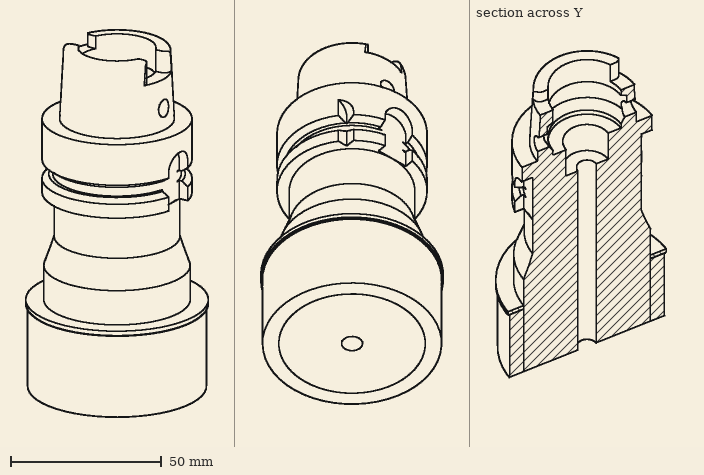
import cadquery as cq
import math

TOTAL_HEIGHT = 120.0
NUT_TOP = 28.8
RING_TOP = 30.7
BODY_TOP = 42.8
NECK_BOTTOM = 53.0
FLANGE_BOTTOM = 68.8
FLANGE_TOP = 94.8

BODY_RADIUS = 24.4
NECK_RADIUS = 20.9
FLANGE_RADIUS = 25.0
TAPER_BASE_RADIUS = 19.1
TAPER_SLOPE = 0.05
TIP_FILLET = 1.2

GROOVE_RADIUS = 21.4
GROOVE_LIP_RADIUS = 22.7
GROOVE_BOTTOM = 75.2
GROOVE_TOP = 78.8
GROOVE_CHAMFER_HEIGHT = 1.5

BORE_RADIUS = 13.0
BORE_LIP_BOTTOM = 109.8
CHAMBER_RADIUS = 15.1
LIP_SLOPE_DEGREES = 30
CHAMBER_BOTTOM = 100.5
LEDGE_SLOPE_DEGREES = 60
BORE_FLOOR = FLANGE_TOP
THREAD_RADIUS = 8.0
THREAD_DEPTH = 12.0
COOLANT_RADIUS = 3.5

DRIVE_SLOT_WIDTH = 10.5
DRIVE_SLOT_CORNER = 2.4
DRIVE_SLOT_SHOULDER_X = 16.2
SHALLOW_SLOT_FLOOR = 115.5
DEEP_SLOT_FLOOR = 112.3

CROSS_HOLE_RADIUS = 3.0
CROSS_HOLE_HEIGHT = 102.2

KEYWAY_RADIUS = 5.9
KEYWAY_TOP = 88.0
KEYWAY_FLOOR_X = NECK_RADIUS
NOTCH_WALL_Y = 15.6
NOTCH_FLOOR_X = 16.0

NUT_RADIUS = 29.8
RING_RADIUS = 30.4
RING_CHAMFER = 0.4


def turned(points):
    """Revolve (radius, height) points about the Z axis, starting on the -Y side."""
    outline = [(-radius, height) for radius, height in points]
    return cq.Workplane("YZ").polyline(outline).close().revolve(360, (0, 0, 0), (0, 1, 0))


def bar_along_x(profile, x_start, x_end):
    """Extrude a profile drawn on the YZ plane from x_start to x_end."""
    return profile.extrude(x_end - x_start).translate((x_start, 0, 0))


def holder_blank():
    taper_top_radius = TAPER_BASE_RADIUS - TAPER_SLOPE * (TOTAL_HEIGHT - FLANGE_TOP)
    return turned([
        (0, 0),
        (BODY_RADIUS, 0),
        (BODY_RADIUS, BODY_TOP),
        (NECK_RADIUS, NECK_BOTTOM),
        (NECK_RADIUS, FLANGE_BOTTOM),
        (FLANGE_RADIUS, FLANGE_BOTTOM),
        (FLANGE_RADIUS, GROOVE_BOTTOM - GROOVE_CHAMFER_HEIGHT),
        (GROOVE_LIP_RADIUS, GROOVE_BOTTOM),
        (GROOVE_RADIUS, GROOVE_BOTTOM),
        (GROOVE_RADIUS, GROOVE_TOP),
        (GROOVE_LIP_RADIUS, GROOVE_TOP),
        (FLANGE_RADIUS, GROOVE_TOP + GROOVE_CHAMFER_HEIGHT),
        (FLANGE_RADIUS, FLANGE_TOP),
        (TAPER_BASE_RADIUS, FLANGE_TOP),
        (taper_top_radius, TOTAL_HEIGHT),
        (0, TOTAL_HEIGHT),
    ]).faces(">Z").edges().fillet(TIP_FILLET)


def bore():
    chamber_depth = CHAMBER_RADIUS - BORE_RADIUS
    lip_slope_height = chamber_depth * math.tan(math.radians(LIP_SLOPE_DEGREES))
    ledge_height = chamber_depth * math.tan(math.radians(LEDGE_SLOPE_DEGREES))
    return turned([
        (0, 0),
        (COOLANT_RADIUS, 0),
        (COOLANT_RADIUS, BORE_FLOOR - THREAD_DEPTH),
        (THREAD_RADIUS, BORE_FLOOR - THREAD_DEPTH),
        (THREAD_RADIUS, BORE_FLOOR),
        (BORE_RADIUS, BORE_FLOOR),
        (BORE_RADIUS, CHAMBER_BOTTOM - ledge_height),
        (CHAMBER_RADIUS, CHAMBER_BOTTOM),
        (CHAMBER_RADIUS, BORE_LIP_BOTTOM - lip_slope_height),
        (BORE_RADIUS, BORE_LIP_BOTTOM),
        (BORE_RADIUS, TOTAL_HEIGHT),
        (0, TOTAL_HEIGHT),
    ])


def drive_slot(side, floor):
    """Slot through the tip wall whose rounded corners end on flat shoulders.

    side is -1 for the -X slot and +1 for the +X slot.
    """
    half_width = DRIVE_SLOT_WIDTH / 2
    shoulder_half_width = half_width + DRIVE_SLOT_CORNER
    arc_start_x = DRIVE_SLOT_SHOULDER_X - DRIVE_SLOT_CORNER
    middle_x = arc_start_x + DRIVE_SLOT_CORNER * math.sin(math.pi / 4)
    middle_y = shoulder_half_width - DRIVE_SLOT_CORNER * math.cos(math.pi / 4)
    profile = (
        cq.Workplane("XY")
        .moveTo(0, -half_width)
        .lineTo(side * arc_start_x, -half_width)
        .threePointArc(
            (side * middle_x, -middle_y),
            (side * DRIVE_SLOT_SHOULDER_X, -shoulder_half_width),
        )
        .lineTo(side * DRIVE_SLOT_SHOULDER_X, -TAPER_BASE_RADIUS)
        .lineTo(side * TAPER_BASE_RADIUS, -TAPER_BASE_RADIUS)
        .lineTo(side * TAPER_BASE_RADIUS, TAPER_BASE_RADIUS)
        .lineTo(side * DRIVE_SLOT_SHOULDER_X, TAPER_BASE_RADIUS)
        .lineTo(side * DRIVE_SLOT_SHOULDER_X, shoulder_half_width)
        .threePointArc((side * middle_x, middle_y), (side * arc_start_x, half_width))
        .lineTo(0, half_width)
        .close()
    )
    return profile.extrude(TOTAL_HEIGHT - floor).translate((0, 0, floor))


def cross_hole():
    profile = cq.Workplane("YZ").center(0, CROSS_HOLE_HEIGHT).circle(CROSS_HOLE_RADIUS)
    return bar_along_x(profile, -FLANGE_RADIUS, FLANGE_RADIUS)


def keyway(center_y, x_start, x_end):
    """Round-topped slot that runs out through the underside of the flange."""
    arc_height = KEYWAY_TOP - KEYWAY_RADIUS
    profile = (
        cq.Workplane("YZ")
        .moveTo(center_y - KEYWAY_RADIUS, FLANGE_BOTTOM)
        .lineTo(center_y + KEYWAY_RADIUS, FLANGE_BOTTOM)
        .lineTo(center_y + KEYWAY_RADIUS, arc_height)
        .threePointArc((center_y, KEYWAY_TOP), (center_y - KEYWAY_RADIUS, arc_height))
        .close()
    )
    return bar_along_x(profile, x_start, x_end)


def make_holder():
    holder = holder_blank().cut(bore()).cut(cross_hole())
    holder = holder.cut(drive_slot(-1, SHALLOW_SLOT_FLOOR))
    holder = holder.cut(drive_slot(1, DEEP_SLOT_FLOOR))
    holder = holder.cut(keyway(0, -FLANGE_RADIUS, -KEYWAY_FLOOR_X))
    holder = holder.cut(keyway(0, KEYWAY_FLOOR_X, FLANGE_RADIUS))
    notch_center_y = NOTCH_WALL_Y + KEYWAY_RADIUS
    return holder.cut(keyway(notch_center_y, -FLANGE_RADIUS, -NOTCH_FLOOR_X))


def make_ring():
    ring = cq.Workplane("XY").workplane(offset=NUT_TOP).circle(RING_RADIUS).extrude(RING_TOP - NUT_TOP)
    ring = ring.faces("<Z").edges().chamfer(RING_CHAMFER)
    body_hole = cq.Workplane("XY").circle(BODY_RADIUS).extrude(RING_TOP)
    return ring.cut(body_hole)


def make_nut():
    return cq.Workplane("XY").circle(NUT_RADIUS).circle(BODY_RADIUS).extrude(NUT_TOP)


holder = make_holder()
ring = make_ring()
nut = make_nut()

result = cq.Compound.makeCompound([holder.val(), ring.val(), nut.val()])